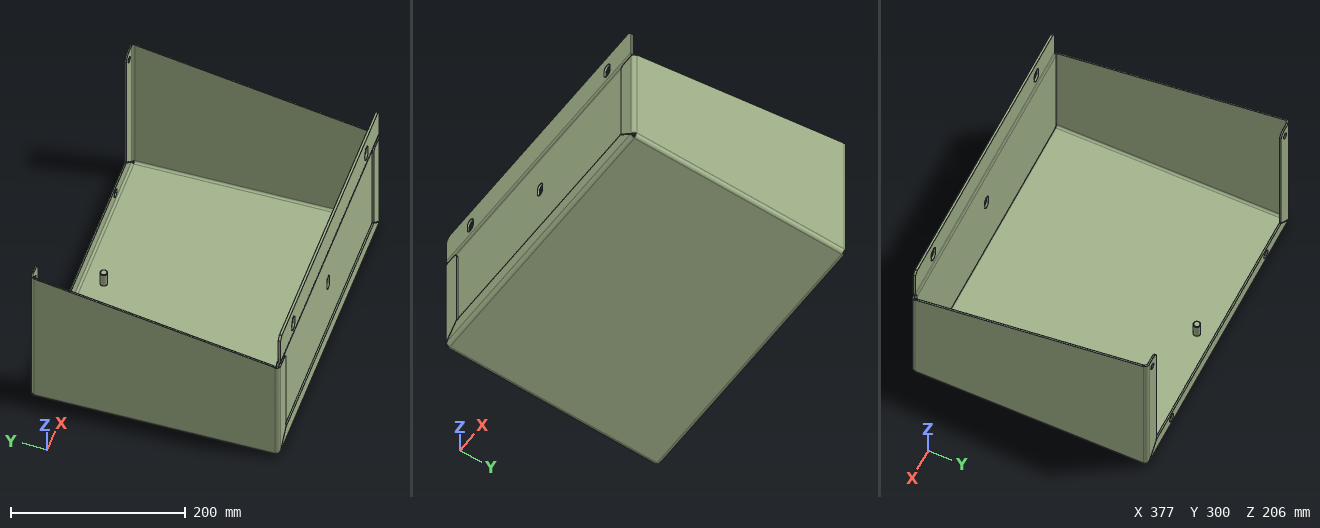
import cadquery as cq
import math

width = 377.0
depth = 300.0
rear_height = 206.0
sheet = 2.0
corner_relief = 3.8
bend_radius = 5.0
wall_rear_height = 205.0
wall_front_height = 152.5

front_flange_width = 25.0
rear_flange_width = 24.0
front_flange_corner_radius = 5.5
rear_flange_corner_radius = 9.0
front_flange_top = 151.5
mitre_gap = 0.8

floor_hole_diameter = 10.0
tab_hole_diameter = 7.0
floor_hole_x = 124.5
floor_hole_z = 14.5
tab_hole_x = 175.3
tab_hole_z = 190.8

panel_thickness = 3.0
panel_top = 199.8
panel_corner_chamfer = 5.0
joggle_top = 158.0
side_slot_x = 136.0
side_slot_z = 175.0
side_slot_width = 11.3
centre_slot_z = 98.0
centre_slot_width = 9.5
slot_length = 19.5

stud_diameter = 8.5
stud_length = 19.0
stud_chamfer = 0.8
stud_from_rear = 28.0

half_width = width / 2
flat_half_width = half_width - bend_radius
panel_back = sheet + panel_thickness


def block(x_size, y_min, y_max, z_min, z_max):
    """Box centred on X that spans the given Y and Z ranges."""
    size_y = y_max - y_min
    size_z = z_max - z_min
    return cq.Workplane("XY").box(x_size, size_y, size_z, (True, False, False)).translate((0, y_min, z_min))


def rear_hole(x, z, diameter):
    """Round cutter through the rear flanges, parallel to Y."""
    return cq.Workplane("XZ", origin=(x, depth, z)).circle(diameter / 2).extrude(sheet)


def slot_along_y(x, z, slot_width, y_max):
    """Upright slot cutter parallel to Y, starting at the front face."""
    return cq.Workplane("XZ", origin=(x, 0, z)).slot2D(slot_length, slot_width, 90).extrude(-y_max)


def rounded_box(inset):
    """Box with rounded upright and lower edges, inset on the sides and underside."""
    box = block(width - 2 * inset, inset, depth - inset, inset, rear_height)
    return box.edges("|Z or <Z").fillet(bend_radius - inset)


def flange_opening(y_min, flange_width, flange_top, corner_radius):
    """Cutter that opens an end wall, leaving mitred flanges with rounded upper corners."""
    x = half_width - flange_width
    r = corner_radius
    profile = (
        cq.Workplane("XZ", origin=(0, y_min, 0))
        .moveTo(-x, flange_width)
        .lineTo(x, flange_width)
        .lineTo(x, flange_top - r)
        .radiusArc((x + r, flange_top), r)
        .lineTo(-x - r, flange_top)
        .radiusArc((-x, flange_top - r), r)
        .close()
    )
    opening = profile.extrude(-sheet)
    slit_length = (flange_width - bend_radius) * math.sqrt(2)
    for side in (-1, 1):
        slit = (
            cq.Workplane("XY")
            .box(slit_length, sheet, mitre_gap, (True, False, True))
            .rotate((0, 0, 0), (0, 1, 0), side * 45)
            .translate((side * (x + flat_half_width) / 2, y_min, (flange_width + bend_radius) / 2))
        )
        opening = opening.union(slit)
    return opening


def above_walls():
    """Cutter for everything above the sloping side walls and the level front bends."""
    profile = cq.Workplane("YZ").polyline([
        (0, front_flange_top),
        (bend_radius, front_flange_top),
        (bend_radius, wall_front_height),
        (depth - bend_radius, wall_rear_height),
        (depth - bend_radius, rear_height),
        (0, rear_height),
    ])
    return profile.close().extrude(half_width, both=True)


def corner_reliefs():
    """Cutters for the four lower corners, where three bends meet."""
    return (
        cq.Workplane("XY")
        .rect(width - corner_relief, depth - corner_relief, forConstruction=True)
        .vertices()
        .rect(corner_relief, corner_relief)
        .extrude(corner_relief)
        .translate((0, depth / 2, 0))
    )


def build_tray():
    tray = rounded_box(0).cut(rounded_box(sheet))
    tray = tray.cut(above_walls())
    tray = tray.cut(corner_reliefs())
    front_opening = flange_opening(0, front_flange_width, front_flange_top, front_flange_corner_radius)
    rear_opening = flange_opening(depth - sheet, rear_flange_width, rear_height, rear_flange_corner_radius)
    tray = tray.cut(front_opening).cut(rear_opening)
    for side in (-1, 1):
        tray = tray.cut(rear_hole(side * floor_hole_x, floor_hole_z, floor_hole_diameter))
        tray = tray.cut(rear_hole(side * tab_hole_x, tab_hole_z, tab_hole_diameter))
    return tray


def build_front_panel():
    """Plate behind the front flanges whose upper part steps forward, flush with them."""
    outer = bend_radius
    inner = bend_radius - panel_thickness
    angle = math.acos(1 - sheet / (outer + inner))
    joggle_bottom = joggle_top - (outer + inner) * math.sin(angle)
    outer_step = outer * (1 - math.cos(angle))
    outer_drop = outer * math.sin(angle)
    panel = (
        cq.Workplane("YZ")
        .moveTo(sheet, bend_radius)
        .lineTo(panel_back, bend_radius)
        .lineTo(panel_back, joggle_bottom)
        .radiusArc((panel_back - outer_step, joggle_bottom + outer_drop), -outer)
        .radiusArc((panel_thickness, joggle_top), inner)
        .lineTo(panel_thickness, panel_top)
        .lineTo(0, panel_top)
        .lineTo(0, joggle_top)
        .radiusArc((outer_step, joggle_top - outer_drop), -outer)
        .radiusArc((sheet, joggle_bottom), inner)
        .close()
        .extrude(flat_half_width, both=True)
    )
    panel = panel.edges("|Y and >Z").chamfer(panel_corner_chamfer)
    for x in (-side_slot_x, side_slot_x):
        panel = panel.cut(slot_along_y(x, side_slot_z, side_slot_width, panel_thickness))
    return panel.cut(slot_along_y(0, centre_slot_z, centre_slot_width, panel_back))


def build_stud():
    base = cq.Workplane("XY", origin=(0, depth - stud_from_rear, sheet))
    return base.circle(stud_diameter / 2).extrude(stud_length).faces(">Z").chamfer(stud_chamfer)


tray = build_tray()
front_panel = build_front_panel()
stud = build_stud()

result = cq.Compound.makeCompound([tray.val(), front_panel.val(), stud.val()])